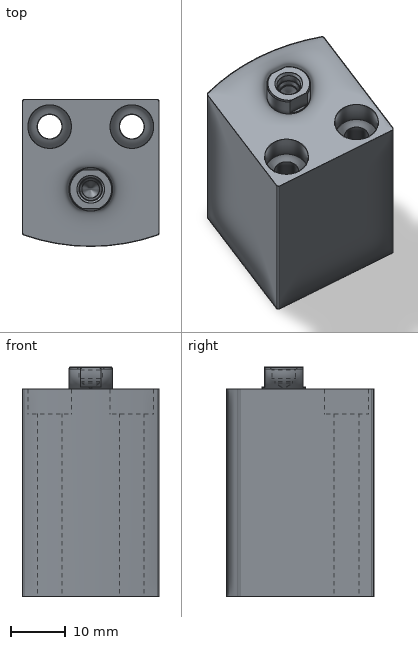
import cadquery as cq
import math

total_height = 42
rod_height = 4.0
housing_height = total_height - rod_height
housing_width = 25.0
housing_depth = 26.92

back_y = 16.45
crown_y = back_y - housing_depth
crown_radius = 37.0
corner_radius = 0.4

mount_x = 7.5
mount_back_distance = 5.0
mount_y = back_y - mount_back_distance
mount_diameter = 4.5
counterbore_diameter = 8
counterbore_depth = 4.6

rod_diameter = 8
rod_rim_chamfer_radial = 0.15
rod_rim_chamfer_height = 0.3
rod_across_flats = 7.0
flat_start_height = 0.35

socket_mouth_diameter = 5.05
socket_mouth_depth = 0.5
socket_diameter = 4.3
socket_depth = 2.05
seat_diameter = 4.1
seat_height = 0.6
drill_diameter = 3.25
drill_depth = 2.95
drill_tip_angle = 118


def make_housing():
    """Block with a convex front and two counterbored through holes."""
    half_width = housing_width / 2
    crown_sagitta = crown_radius - math.sqrt(crown_radius**2 - half_width**2)
    front_corner_y = crown_y + crown_sagitta
    block = (
        cq.Workplane("XY")
        .moveTo(-half_width, back_y)
        .lineTo(-half_width, front_corner_y)
        .threePointArc((0, crown_y), (half_width, front_corner_y))
        .lineTo(half_width, back_y)
        .close()
        .extrude(housing_height)
        .edges("|Z")
        .fillet(corner_radius)
    )
    return (
        block.faces(">Z")
        .workplane(origin=(0, 0, housing_height))
        .pushPoints([(-mount_x, mount_y), (mount_x, mount_y)])
        .cboreHole(mount_diameter, counterbore_diameter, counterbore_depth)
    )


def make_socket():
    """Revolved socket: flared mouth, bore, narrow step, tapered seat and pointed drill hole."""
    mouth_radius = socket_mouth_diameter / 2
    bore_radius = socket_diameter / 2
    seat_radius = seat_diameter / 2
    drill_radius = drill_diameter / 2
    seat_depth = socket_depth + seat_height
    tip_height = drill_radius / math.tan(math.radians(drill_tip_angle / 2))
    return (
        cq.Workplane("XZ", origin=(0, 0, total_height))
        .lineTo(mouth_radius, 0)
        .lineTo(bore_radius, -socket_mouth_depth)
        .lineTo(bore_radius, -socket_depth)
        .lineTo(seat_radius, -socket_depth)
        .lineTo(drill_radius, -seat_depth)
        .lineTo(drill_radius, -drill_depth)
        .lineTo(0, -drill_depth - tip_height)
        .close()
        .revolve(360, (0, 0, 0), (0, 1, 0))
    )


def make_rod():
    """Rod end standing on the housing, with a bevelled rim, two wrench flats and a socket."""
    rod_radius = rod_diameter / 2
    rod = (
        cq.Workplane("XZ", origin=(0, 0, housing_height))
        .lineTo(rod_radius, 0)
        .lineTo(rod_radius, rod_height - rod_rim_chamfer_height)
        .lineTo(rod_radius - rod_rim_chamfer_radial, rod_height)
        .lineTo(0, rod_height)
        .close()
        .revolve(360, (0, 0, 0), (0, 1, 0))
    )
    flat_height = rod_height - flat_start_height
    flat_depth = (rod_diameter - rod_across_flats) / 2
    flat_center_y = (rod_across_flats + flat_depth) / 2
    flat_cutters = (
        cq.Workplane("XY", origin=(0, 0, housing_height + flat_start_height))
        .pushPoints([(0, -flat_center_y), (0, flat_center_y)])
        .rect(rod_diameter, flat_depth)
        .extrude(flat_height)
    )
    return rod.cut(flat_cutters).cut(make_socket())


housing = make_housing()
rod = make_rod()

result = cq.Compound.makeCompound([housing.val(), rod.val()])